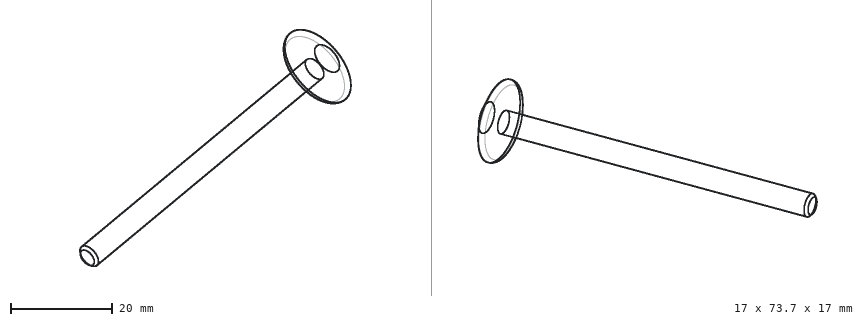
import cadquery as cq

total_length = 73.65
head_diameter = 17.0
head_height = 3.8
crown_diameter = 6.4
rim_height = 1.0
rim_rounding = 0.9
shank_diameter = 4.8
tip_chamfer = 0.6

shank_length = total_length - head_height
head_radius = head_diameter / 2
crown_radius = crown_diameter / 2
shank_radius = shank_diameter / 2


def make_head():
    """Flat-bottomed head: rounded lower rim, conical flank and flat crown."""
    profile = (
        cq.Workplane("XY")
        .moveTo(0, 0)
        .lineTo(head_radius - rim_rounding, 0)
        .radiusArc((head_radius, rim_rounding), -rim_rounding)
        .lineTo(head_radius, rim_height)
        .lineTo(crown_radius, head_height)
        .lineTo(0, head_height)
        .close()
    )
    return profile.revolve(360, (0, 0), (0, 1))


def make_shank():
    """Plain cylinder running from the head's underside to a chamfered tip."""
    shank = cq.Workplane("XZ").circle(shank_radius).extrude(shank_length)
    return shank.faces("<Y").chamfer(tip_chamfer)


result = make_head().union(make_shank())